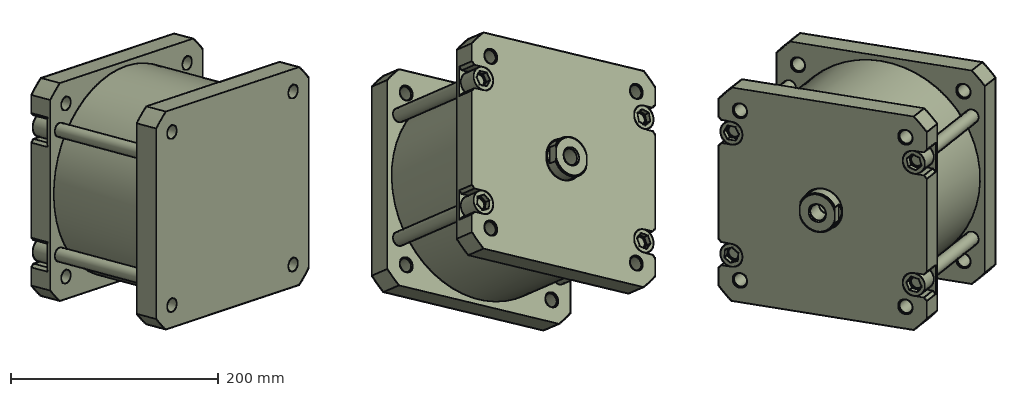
import cadquery as cq
import math


PLATE_SIDE = 220.0
FRONT_PLATE_THICKNESS = 24.6
REAR_PLATE_THICKNESS = 25.3
CORNER_CUT = 13.9
CORNER_RADIUS = math.hypot(PLATE_SIDE / 2, PLATE_SIDE / 2 - CORNER_CUT)

COUNTERSINK_ANGLE = 60.0

MOUNT_OFFSET = 87.3
MOUNT_RADIUS = 6.8
MOUNT_CHAMFER = 0.9

BARREL_RADIUS = 105.0
BARREL_LENGTH = 111.8
BARREL_END_X = FRONT_PLATE_THICKNESS + BARREL_LENGTH

BOLT_Y = 96.4
BOLT_Z = 63.0
BOLT_RADIUS = 7.0
HEAD_RADIUS = 11.7
HEAD_LENGTH = 20.7
SLOT_HALF_WIDTH = 11.9
SLOT_MOUTH_CHAMFER = 3.0

SOCKET_SIDES = 6
SOCKET_ACROSS_FLATS = 14.0
SOCKET_DEPTH = 6.2
RECESS_MOUTH_RADIUS = 6.5
RECESS_FLOOR_RADIUS = 6.0
RECESS_DEPTH = RECESS_MOUTH_RADIUS - RECESS_FLOOR_RADIUS

BOLTS = [
    (1, 1, 0),
    (1, -1, -24),
    (-1, 1, 17),
    (-1, -1, 7),
]

ROD_RADIUS = 20.0
ROD_PROJECTION = 12.5
ROD_TIP_CHAMFER = 1.0
ROD_BORE_CHAMFER = 0.9
FLAT_OFFSET = 18.3
FLAT_LENGTH = 10.1
ROD_HOLE_RADIUS = 8.1
ROD_HOLE_DEPTH = 22.0
ROD_HOLE_CHAMFER = 1.0
DRILL_POINT_ANGLE = 118.0


def cylinder(x, length, radius, y=0.0, z=0.0):
    """Cylinder along X that starts at x."""
    return cq.Workplane(cq.Solid.makeCylinder(radius, length, cq.Vector(x, y, z), cq.Vector(1, 0, 0)))


def cone(x, length, start_radius, end_radius, y=0.0, z=0.0):
    """Cone along X that starts at x."""
    return cq.Workplane(
        cq.Solid.makeCone(start_radius, end_radius, length, cq.Vector(x, y, z), cq.Vector(1, 0, 0))
    )


def countersink(x, hole_radius, size, y=0.0, z=0.0):
    """Cutter for a chamfer that widens a hole mouth at x by size all round."""
    depth = size / math.tan(math.radians(COUNTERSINK_ANGLE / 2))
    return cone(x, depth, hole_radius + size, hole_radius, y, z)


def end_plate(x, thickness):
    """Square plate with turned corners and four mounting holes."""
    plate = cq.Workplane("YZ", origin=(x, 0, 0)).rect(PLATE_SIDE, PLATE_SIDE).extrude(thickness)
    plate = plate.intersect(cylinder(x, thickness, CORNER_RADIUS))
    for y in (-MOUNT_OFFSET, MOUNT_OFFSET):
        for z in (-MOUNT_OFFSET, MOUNT_OFFSET):
            plate = plate.cut(cylinder(x, thickness, MOUNT_RADIUS, y, z))
            plate = plate.cut(countersink(x, MOUNT_RADIUS, MOUNT_CHAMFER, y, z))
    return plate


def head_slot(side_y, side_z):
    """Round-ended slot for a bolt head, open to the side with a chamfered mouth."""
    edge_y = PLATE_SIDE / 2
    mouth_half_width = SLOT_HALF_WIDTH + SLOT_MOUTH_CHAMFER
    outline = (
        cq.Workplane("YZ")
        .moveTo(BOLT_Y, BOLT_Z + SLOT_HALF_WIDTH)
        .lineTo(edge_y - SLOT_MOUTH_CHAMFER, BOLT_Z + SLOT_HALF_WIDTH)
        .lineTo(edge_y, BOLT_Z + mouth_half_width)
        .lineTo(edge_y, BOLT_Z - mouth_half_width)
        .lineTo(edge_y - SLOT_MOUTH_CHAMFER, BOLT_Z - SLOT_HALF_WIDTH)
        .lineTo(BOLT_Y, BOLT_Z - SLOT_HALF_WIDTH)
        .threePointArc((BOLT_Y - SLOT_HALF_WIDTH, BOLT_Z), (BOLT_Y, BOLT_Z + SLOT_HALF_WIDTH))
        .close()
    )
    slot = outline.extrude(HEAD_LENGTH)
    if side_y < 0:
        slot = slot.mirror("XZ")
    if side_z < 0:
        slot = slot.mirror("XY")
    return slot


def make_front_plate():
    """Front plate with the rod bore, the head slots and the bolt holes."""
    plate = end_plate(0, FRONT_PLATE_THICKNESS)
    plate = plate.cut(cylinder(0, FRONT_PLATE_THICKNESS, ROD_RADIUS))
    plate = plate.cut(countersink(0, ROD_RADIUS, ROD_BORE_CHAMFER))
    for side_y, side_z, _ in BOLTS:
        plate = plate.cut(head_slot(side_y, side_z))
        plate = plate.cut(
            cylinder(0, FRONT_PLATE_THICKNESS, BOLT_RADIUS, side_y * BOLT_Y, side_z * BOLT_Z)
        )
    return plate


def make_rear_plate():
    """Rear plate, pierced only by the mounting holes."""
    return end_plate(BARREL_END_X, REAR_PLATE_THICKNESS)


def make_barrel():
    """Round barrel between the plates."""
    return cylinder(FRONT_PLATE_THICKNESS, BARREL_LENGTH, BARREL_RADIUS)


def make_tie_bolt(side_y, side_z, socket_turn):
    """Socket-head tie bolt that reaches from the front plate to the rear plate."""
    y = side_y * BOLT_Y
    z = side_z * BOLT_Z
    head = cylinder(0, HEAD_LENGTH, HEAD_RADIUS, y, z)
    shank = cylinder(HEAD_LENGTH, BARREL_END_X - HEAD_LENGTH, BOLT_RADIUS, y, z)
    corner_radius = SOCKET_ACROSS_FLATS / 2 / math.cos(math.pi / SOCKET_SIDES)
    corner_angles = [2 * math.pi * corner / SOCKET_SIDES for corner in range(SOCKET_SIDES)]
    socket_corners = [(corner_radius * math.cos(a), corner_radius * math.sin(a)) for a in corner_angles]
    socket = (
        cq.Workplane("YZ")
        .polyline(socket_corners)
        .close()
        .extrude(SOCKET_DEPTH)
        .rotate((0, 0, 0), (1, 0, 0), socket_turn)
        .translate((0, y, z))
    )
    recess = cone(SOCKET_DEPTH, RECESS_DEPTH, RECESS_MOUTH_RADIUS, RECESS_FLOOR_RADIUS, y, z)
    return head.union(shank).cut(socket).cut(recess)


def wrench_flat():
    """Cutter for one wrench flat, its inner end sloped at 45 degrees."""
    flat_end_x = FLAT_LENGTH - ROD_PROJECTION
    run_out = ROD_RADIUS - FLAT_OFFSET
    return (
        cq.Workplane("XY")
        .moveTo(-ROD_PROJECTION, FLAT_OFFSET)
        .lineTo(flat_end_x, FLAT_OFFSET)
        .lineTo(flat_end_x + run_out, ROD_RADIUS)
        .lineTo(-ROD_PROJECTION, ROD_RADIUS)
        .close()
        .extrude(ROD_RADIUS, both=True)
    )


def make_piston_rod():
    """Piston rod with two wrench flats and a drilled hole in its tip."""
    tip_x = -ROD_PROJECTION
    rod = cylinder(tip_x, ROD_PROJECTION + FRONT_PLATE_THICKNESS, ROD_RADIUS)
    rod = rod.faces("<X").chamfer(ROD_TIP_CHAMFER)
    rod = rod.cut(wrench_flat()).cut(wrench_flat().mirror("XZ"))
    point_length = ROD_HOLE_RADIUS / math.tan(math.radians(DRILL_POINT_ANGLE / 2))
    rod = rod.cut(cylinder(tip_x, ROD_HOLE_DEPTH, ROD_HOLE_RADIUS))
    rod = rod.cut(cone(tip_x + ROD_HOLE_DEPTH, point_length, ROD_HOLE_RADIUS, 0))
    return rod.cut(countersink(tip_x, ROD_HOLE_RADIUS, ROD_HOLE_CHAMFER))


front_plate = make_front_plate()
rear_plate = make_rear_plate()
barrel = make_barrel()
piston_rod = make_piston_rod()
tie_bolts = [make_tie_bolt(*bolt).val() for bolt in BOLTS]

result = cq.Compound.makeCompound(
    [
        front_plate.val(),
        rear_plate.val(),
        barrel.val(),
        piston_rod.val(),
        *tie_bolts,
    ]
)